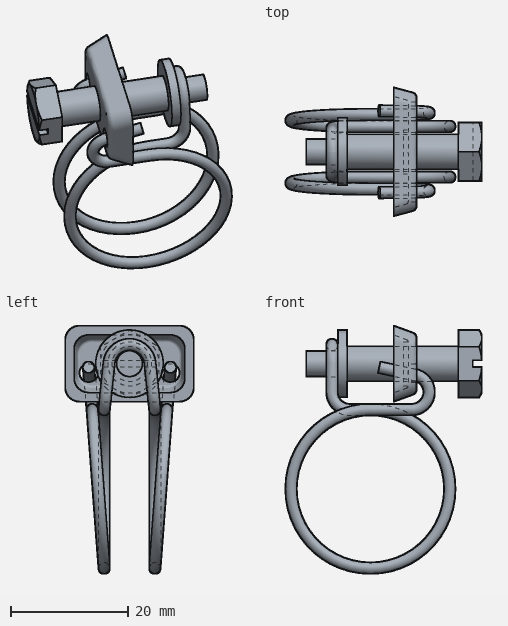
import cadquery as cq
import math


WIRE_DIA = 2.0
COIL_RADIUS = 13.5
COIL_INNER_Y = 4.3
COIL_OUTER_Y = 6.35
BEND_RADIUS = 3.0
LEG_X = -6.55
LOOP_RADIUS = 3.5
LOOP_CENTRE_Z = 21.1
HOOK_START_X = 7.0
HOOK_SIDE_LEAN = 5
HOOK_TAIL_RISE = 12
HOOK_TAIL_LENGTH = 6.25

SCREW_AXIS_Z = 21.35
SHANK_DIA = 6.0
TIP_DIA = 4.4
TIP_END_X = -10.95
COLLAR_DIA = 11.5
COLLAR_THICKNESS = 1.55
COLLAR_X = LEG_X + WIRE_DIA / 2
HEAD_X = 15.0
HEAD_HEIGHT = 4.0
HEAD_ACROSS_FLATS = 10.0
HEAD_ACROSS_CORNERS = HEAD_ACROSS_FLATS / math.cos(math.radians(30))
HEAD_CHAMFER_ANGLE = 30
SLOT_WIDTH = 1.1
SLOT_DEPTH = 1.52

PLATE_X = 3.95
PLATE_DEPTH = 3.95
PLATE_LENGTH = 22.0
PLATE_HEIGHT = 13.0
PLATE_WALL = 1.5
PLATE_CORNER_RADIUS = 2.5
END_DRAFT = 15
SIDE_DRAFT = 20
PLATE_EDGE_RADIUS = 1.0
POCKET_FLOOR_RADIUS = 0.5
BOSS_DIA = 7.5
BOSS_HEIGHT = 0.8
WIRE_HOLE_DIA = 3.15
WIRE_HOLE_Y = 6.95
WIRE_HOLE_Z = 19.78


def half_wire_edges():
    """Centre line of the +Y half of the wire, from the loop top to the hook tail."""
    drop = LOOP_CENTRE_Z - COIL_RADIUS
    lean = math.acos(LOOP_RADIUS / math.hypot(COIL_INNER_Y, drop)) - math.atan2(drop, COIL_INNER_Y)

    def loop_point(angle):
        return cq.Vector(
            LEG_X,
            LOOP_RADIUS * math.cos(angle),
            LOOP_CENTRE_Z + LOOP_RADIUS * math.sin(angle),
        )

    leg_up = cq.Vector(0, -math.sin(lean), math.cos(lean))
    bend_end = cq.Vector(LEG_X + BEND_RADIUS, COIL_INNER_Y, COIL_RADIUS)
    bend_centre = bend_end + leg_up * BEND_RADIUS
    bend_start = bend_centre - cq.Vector(BEND_RADIUS, 0, 0)
    diagonal = (leg_up + cq.Vector(1, 0, 0)).normalized()
    bend_middle = bend_centre - diagonal * BEND_RADIUS

    coil_start = cq.Vector(0, COIL_INNER_Y, COIL_RADIUS)
    coil_bottom = cq.Vector(0, COIL_INNER_Y, -COIL_RADIUS)
    coil_end = cq.Vector(0, COIL_OUTER_Y, COIL_RADIUS)
    tilted_radius = (coil_end - coil_bottom).Length / 2
    tilted_middle = (coil_end + coil_bottom) * 0.5 - cq.Vector(tilted_radius, 0, 0)

    side_lean = math.radians(HOOK_SIDE_LEAN)
    rise = math.radians(HOOK_TAIL_RISE)
    hook_up = cq.Vector(0, math.sin(side_lean), math.cos(side_lean))
    hook_start = cq.Vector(HOOK_START_X, COIL_OUTER_Y, COIL_RADIUS)
    hook_centre = hook_start + hook_up * BEND_RADIUS
    hook_middle = hook_centre + cq.Vector(BEND_RADIUS, 0, 0)
    hook_end = hook_centre + (cq.Vector(math.sin(rise), 0, 0) + hook_up * math.cos(rise)) * BEND_RADIUS
    tail_direction = cq.Vector(-math.cos(rise), 0, 0) + hook_up * math.sin(rise)
    tail_end = hook_end + tail_direction * HOOK_TAIL_LENGTH

    quarter = math.pi / 2
    return [
        cq.Edge.makeThreePointArc(
            loop_point(quarter), loop_point((quarter + lean) / 2), loop_point(lean)
        ),
        cq.Edge.makeLine(loop_point(lean), bend_start),
        cq.Edge.makeThreePointArc(bend_start, bend_middle, bend_end),
        cq.Edge.makeLine(bend_end, coil_start),
        cq.Edge.makeThreePointArc(coil_start, cq.Vector(COIL_RADIUS, COIL_INNER_Y, 0), coil_bottom),
        cq.Edge.makeThreePointArc(coil_bottom, tilted_middle, coil_end),
        cq.Edge.makeLine(coil_end, hook_start),
        cq.Edge.makeThreePointArc(hook_start, hook_middle, hook_end),
        cq.Edge.makeLine(hook_end, tail_end),
    ]


def make_wire():
    path = cq.Wire.assembleEdges(half_wire_edges())
    loop_top = (LEG_X, 0, LOOP_CENTRE_Z + LOOP_RADIUS)
    section = cq.Plane(origin=loop_top, xDir=(1, 0, 0), normal=(0, 1, 0))
    half = cq.Workplane(section).circle(WIRE_DIA / 2).sweep(cq.Workplane(path))
    return half.union(half.mirror("XZ"))


def cylinder_along_x(diameter, start, end):
    plane = cq.Plane(origin=(start, 0, SCREW_AXIS_Z), xDir=(0, 1, 0), normal=(1, 0, 0))
    return cq.Workplane(plane).circle(diameter / 2).extrude(end - start)


def make_head():
    """Hexagon with two corners on the Z axis, its outer end chamfered and slotted."""
    plane = cq.Plane(origin=(HEAD_X, 0, SCREW_AXIS_Z), xDir=(0, 0, 1), normal=(1, 0, 0))
    hexagon = cq.Workplane(plane).polygon(6, HEAD_ACROSS_CORNERS).extrude(HEAD_HEIGHT)

    face_radius = HEAD_ACROSS_FLATS / 2
    corner_radius = HEAD_ACROSS_CORNERS / 2
    head_end = HEAD_X + HEAD_HEIGHT
    chamfer_depth = (corner_radius - face_radius) * math.tan(math.radians(HEAD_CHAMFER_ANGLE))
    envelope = (
        cq.Workplane("XZ")
        .moveTo(HEAD_X, SCREW_AXIS_Z)
        .lineTo(HEAD_X, SCREW_AXIS_Z + corner_radius)
        .lineTo(head_end - chamfer_depth, SCREW_AXIS_Z + corner_radius)
        .lineTo(head_end, SCREW_AXIS_Z + face_radius)
        .lineTo(head_end, SCREW_AXIS_Z)
        .close()
        .revolve(360, (HEAD_X, SCREW_AXIS_Z, 0), (head_end, SCREW_AXIS_Z, 0))
    )
    slot = cq.Workplane("XY").box(2 * SLOT_DEPTH, HEAD_ACROSS_CORNERS, SLOT_WIDTH)
    return hexagon.intersect(envelope).cut(slot.translate((head_end, 0, SCREW_AXIS_Z)))


def make_screw():
    tip = cylinder_along_x(TIP_DIA, TIP_END_X, COLLAR_X)
    collar = cylinder_along_x(COLLAR_DIA, COLLAR_X, COLLAR_X + COLLAR_THICKNESS)
    shank = cylinder_along_x(SHANK_DIA, COLLAR_X, HEAD_X)
    return tip.union(collar).union(shank).union(make_head())


def drafted_block(length, height, depth):
    """Rounded block from the plate rim towards +X, narrowing by the wall drafts."""
    end_length = length - 2 * depth * math.tan(math.radians(END_DRAFT))
    end_height = height - 2 * depth * math.tan(math.radians(SIDE_DRAFT))
    plane = cq.Plane(origin=(PLATE_X, 0, SCREW_AXIS_Z), xDir=(0, 1, 0), normal=(1, 0, 0))
    rim = cq.Sketch().rect(length, height).vertices().fillet(PLATE_CORNER_RADIUS)
    end = cq.Sketch().rect(end_length, end_height).vertices().fillet(PLATE_CORNER_RADIUS)
    return cq.Workplane(plane).placeSketch(rim, end.moved(cq.Location(cq.Vector(0, 0, depth)))).loft()


def make_plate():
    body = drafted_block(PLATE_LENGTH, PLATE_HEIGHT, PLATE_DEPTH)
    body = body.faces(">X").edges().fillet(PLATE_EDGE_RADIUS)

    pocket = drafted_block(
        PLATE_LENGTH - 2 * PLATE_WALL / math.cos(math.radians(END_DRAFT)),
        PLATE_HEIGHT - 2 * PLATE_WALL / math.cos(math.radians(SIDE_DRAFT)),
        PLATE_DEPTH - PLATE_WALL,
    )
    pocket = pocket.faces(">X").edges().fillet(POCKET_FLOOR_RADIUS)

    plate_end = PLATE_X + PLATE_DEPTH
    floor_x = plate_end - PLATE_WALL
    boss = cylinder_along_x(BOSS_DIA, floor_x - BOSS_HEIGHT, plate_end - PLATE_WALL / 2)
    screw_hole = cylinder_along_x(SHANK_DIA, PLATE_X, plate_end)
    plate = body.cut(pocket).union(boss).cut(screw_hole)
    for side in (-1, 1):
        hole = cylinder_along_x(WIRE_HOLE_DIA, PLATE_X, plate_end)
        plate = plate.cut(hole.translate((0, side * WIRE_HOLE_Y, WIRE_HOLE_Z - SCREW_AXIS_Z)))
    return plate


wire = make_wire()
screw = make_screw()
plate = make_plate()

result = cq.Compound.makeCompound([wire.solids().val(), screw.solids().val(), plate.solids().val()])